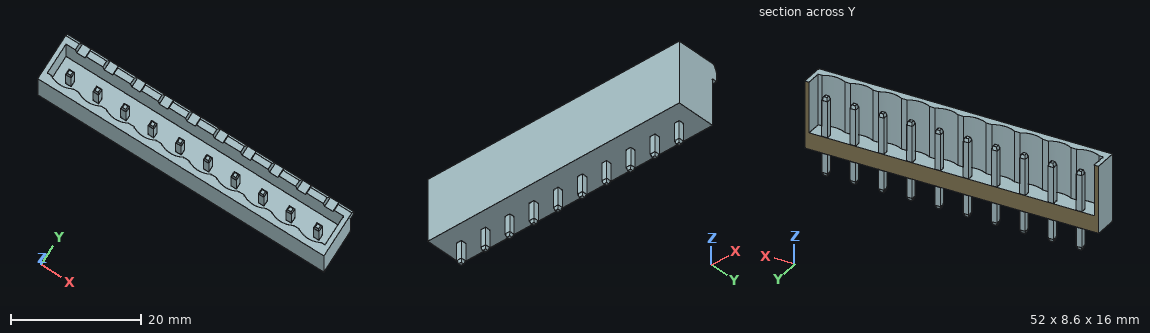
import cadquery as cq

pin_count = 10
pitch = 5.0
length = 52.0
depth = 8.6
height = 12.0
pin_to_front = 3.8
front_y = -pin_to_front
rear_y = front_y + depth
first_pin_x = -pitch * (pin_count - 1) / 2
pin_positions = [first_pin_x + index * pitch for index in range(pin_count)]

ledge_overhang = 0.95
ledge_height = 3.0
ledge_chamfer_depth = 0.6
ledge_chamfer_height = 1.4

end_wall = 0.8
front_wall = 1.55
rear_wall_at_ledge = 1.7
floor_thickness = 3.0
scallop_width = 4.0
scallop_depth = 0.55

notch_top_width = 2.0
notch_bottom_width = 1.5
notch_depth = 1.5

pin_size = 1.0
pin_tip_size = 0.6
pin_taper_length = 0.6
pin_below_housing = 4.0
pin_top_below_rim = 2.0


def make_housing():
    """Block with a chamfered ledge along its rear, extruded along X."""
    wall_y = rear_y - ledge_overhang
    return (
        cq.Workplane("YZ", origin=(-length / 2, 0, 0))
        .moveTo(front_y, 0)
        .lineTo(wall_y, 0)
        .lineTo(wall_y, height - ledge_height)
        .lineTo(rear_y, height - ledge_height)
        .lineTo(rear_y, height - ledge_chamfer_height)
        .lineTo(rear_y - ledge_chamfer_depth, height)
        .lineTo(front_y, height)
        .close()
        .extrude(length)
    )


def make_cavity():
    """Cavity whose front side has a shallow arc in front of each pin."""
    half_width = length / 2 - end_wall
    cavity_front = front_y + front_wall
    cavity_rear = rear_y - rear_wall_at_ledge
    outline = (
        cq.Workplane("XY", origin=(0, 0, floor_thickness))
        .moveTo(-half_width, cavity_rear)
        .lineTo(-half_width, cavity_front)
    )
    for x in pin_positions:
        outline = outline.lineTo(x - scallop_width / 2, cavity_front).threePointArc(
            (x, cavity_front - scallop_depth), (x + scallop_width / 2, cavity_front)
        )
    return (
        outline.lineTo(half_width, cavity_front)
        .lineTo(half_width, cavity_rear)
        .close()
        .extrude(height - floor_thickness)
    )


def make_notch(x):
    """Notch through the rear wall, narrowing towards its bottom."""
    notch_floor = height - notch_depth
    return (
        cq.Workplane("XZ", origin=(x, rear_y, 0))
        .moveTo(-notch_top_width / 2, height)
        .lineTo(-notch_bottom_width / 2, notch_floor)
        .lineTo(notch_bottom_width / 2, notch_floor)
        .lineTo(notch_top_width / 2, height)
        .close()
        .extrude(rear_wall_at_ledge)
    )


def make_pin(x):
    """Square pin through the floor, tapered to a smaller square at both ends."""
    shank_bottom = -pin_below_housing + pin_taper_length
    shank_top = height - pin_top_below_rim - pin_taper_length
    pin = (
        cq.Workplane("XY", origin=(x, 0, shank_bottom))
        .rect(pin_size, pin_size)
        .extrude(shank_top - shank_bottom)
    )
    for base_z, taper_length in ((shank_top, pin_taper_length), (shank_bottom, -pin_taper_length)):
        tip = (
            cq.Workplane("XY", origin=(x, 0, base_z))
            .rect(pin_size, pin_size)
            .workplane(offset=taper_length)
            .rect(pin_tip_size, pin_tip_size)
            .loft(ruled=True)
        )
        pin = pin.union(tip)
    return pin


result = make_housing().cut(make_cavity())
for pin_x in pin_positions:
    result = result.cut(make_notch(pin_x)).union(make_pin(pin_x))